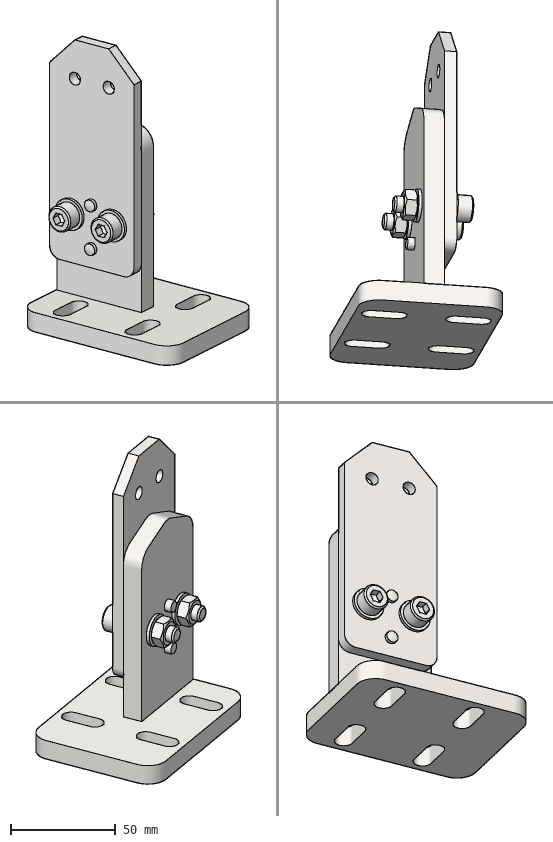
import cadquery as cq
import math

BASE_LENGTH = 90.0
BASE_WIDTH = 70.0
BASE_THICKNESS = 10.0
BASE_CORNER_RADIUS = 10.0
SLOT_WIDTH = 9.0
SLOT_LENGTH = 22.0
SLOT_X_POSITIONS = (-25.0, 17.5)
SLOT_Y_OFFSET = 20.5

UPRIGHT_INSET = 0.5
UPRIGHT_WIDTH = 50.0
UPRIGHT_THICKNESS = 10.0
SHOULDER_Z = 98.75
GABLE_RISE = 9.5
GABLE_RADIUS = 10.0
UPRIGHT_LEFT_X = -BASE_LENGTH / 2 + UPRIGHT_INSET
UPRIGHT_RIGHT_X = UPRIGHT_LEFT_X + UPRIGHT_WIDTH
CENTRE_X = UPRIGHT_LEFT_X + UPRIGHT_WIDTH / 2
UPRIGHT_BACK_Y = UPRIGHT_THICKNESS / 2
UPRIGHT_FRONT_Y = -UPRIGHT_THICKNESS / 2

PLATE_THICKNESS = 6.0
PLATE_BOTTOM_Z = 29.0
PLATE_HEIGHT = 115.0
PLATE_TOP_CHAMFER = 15.0
PLATE_BOTTOM_RADIUS = 6.0
PLATE_TOP_Z = PLATE_BOTTOM_Z + PLATE_HEIGHT
PLATE_FRONT_Y = UPRIGHT_FRONT_Y - PLATE_THICKNESS
MOUNT_HOLE_DIAMETER = 6.5
MOUNT_HOLE_SPACING = 20.0
MOUNT_HOLE_TOP_DISTANCE = 20.0
MOUNT_HOLE_Z = PLATE_TOP_Z - MOUNT_HOLE_TOP_DISTANCE

SCREW_DIAMETER = 8.0
SCREW_LENGTH = 30.0
SCREW_TIP_CHAMFER = 0.9
SCREW_SPACING = 25.0
SCREW_HEIGHT_ON_PLATE = 25.0
SCREW_Z = PLATE_BOTTOM_Z + SCREW_HEIGHT_ON_PLATE
CLEARANCE_DIAMETER = 8.5
HEAD_DIAMETER = 13.0
HEAD_HEIGHT = 8.0
HEAD_CHAMFER = 0.8
SOCKET_FLATS = 6.0
SOCKET_DEPTH = 4.0
SOCKET_POINT_ANGLE = 120.0
WASHER_DIAMETER = 16.0
WASHER_BORE = 8.4
WASHER_THICKNESS = 1.6
NUT_FLATS = 13.0
NUT_HEIGHT = 6.5
NUT_FACE_DIAMETER = 11.7
NUT_CHAMFER_ANGLE = 30.0
HEAD_SEAT_Y = PLATE_FRONT_Y - WASHER_THICKNESS
NUT_SEAT_Y = UPRIGHT_BACK_Y + WASHER_THICKNESS
SCREW_POINTS = [(CENTRE_X + side * SCREW_SPACING / 2, SCREW_Z) for side in (-1, 1)]

PIN_DIAMETER = 6.0
UPPER_PIN_OFFSET_Z = 7.5
LOWER_PIN_OFFSET_Z = -15.0
PIN_FRONT_PROJECTION = 2.2
PIN_BACK_PROJECTION = 3.5
PIN_FRONT_Y = PLATE_FRONT_Y - PIN_FRONT_PROJECTION
PIN_BACK_Y = UPRIGHT_BACK_Y + PIN_BACK_PROJECTION
PIN_CROWN_HEIGHT = 0.4
PIN_TAPER_LENGTH = 1.0
PIN_TAPER_DEPTH = 0.25
PIN_POINTS = [(CENTRE_X, SCREW_Z + offset) for offset in (UPPER_PIN_OFFSET_Z, LOWER_PIN_OFFSET_Z)]


def facing_back(y):
    """Workplane at the given Y with local axes X and Z; a negative extrusion runs toward +Y."""
    return cq.Workplane("XZ", origin=(0, y, 0))


def bar(points, diameter, start_y, end_y):
    """Round bars along Y, one centred on each (x, z) point."""
    return facing_back(start_y).pushPoints(points).circle(diameter / 2).extrude(start_y - end_y)


def hexagon(flats, start_y, end_y):
    """Hexagonal bar along the Y axis with two corners on X."""
    corner_diameter = flats / math.cos(math.pi / 6)
    return facing_back(start_y).polygon(6, corner_diameter).extrude(start_y - end_y)


def turned(profile):
    """Solid of revolution about the Y axis from (radius, y) points."""
    return cq.Workplane("XY").polyline(profile).close().revolve(360, (0, 0, 0), (0, 1, 0))


def make_base():
    base = (
        cq.Workplane("XY")
        .rect(BASE_LENGTH, BASE_WIDTH)
        .extrude(BASE_THICKNESS)
        .edges("|Z")
        .fillet(BASE_CORNER_RADIUS)
    )
    slot_points = [(x, side * SLOT_Y_OFFSET) for x in SLOT_X_POSITIONS for side in (-1, 1)]
    slots = (
        cq.Workplane("XY")
        .pushPoints(slot_points)
        .slot2D(SLOT_LENGTH, SLOT_WIDTH, 90)
        .extrude(BASE_THICKNESS)
    )
    return base.cut(slots)


def make_upright():
    outline = [
        (UPRIGHT_LEFT_X, BASE_THICKNESS),
        (UPRIGHT_RIGHT_X, BASE_THICKNESS),
        (UPRIGHT_RIGHT_X, SHOULDER_Z),
        (CENTRE_X, SHOULDER_Z + GABLE_RISE),
        (UPRIGHT_LEFT_X, SHOULDER_Z),
    ]
    upright = facing_back(UPRIGHT_FRONT_Y).polyline(outline).close().extrude(-UPRIGHT_THICKNESS)
    upright = upright.edges("|Y").edges("not <Z").fillet(GABLE_RADIUS)
    screw_holes = bar(SCREW_POINTS, CLEARANCE_DIAMETER, UPRIGHT_FRONT_Y, UPRIGHT_BACK_Y)
    pin_holes = bar(PIN_POINTS, PIN_DIAMETER, UPRIGHT_FRONT_Y, UPRIGHT_BACK_Y)
    return upright.cut(screw_holes).cut(pin_holes)


def make_bracket():
    return make_base().union(make_upright())


def make_plate():
    plate = cq.Workplane("XY").box(
        UPRIGHT_WIDTH, PLATE_THICKNESS, PLATE_HEIGHT, centered=(True, False, False)
    )
    plate = plate.translate((CENTRE_X, PLATE_FRONT_Y, PLATE_BOTTOM_Z))
    plate = plate.faces(">Z").edges("|Y").chamfer(PLATE_TOP_CHAMFER)
    plate = plate.faces("<Z").edges("|Y").fillet(PLATE_BOTTOM_RADIUS)
    mount_points = [(CENTRE_X + side * MOUNT_HOLE_SPACING / 2, MOUNT_HOLE_Z) for side in (-1, 1)]
    mount_holes = bar(mount_points, MOUNT_HOLE_DIAMETER, PLATE_FRONT_Y, UPRIGHT_FRONT_Y)
    screw_holes = bar(SCREW_POINTS, CLEARANCE_DIAMETER, PLATE_FRONT_Y, UPRIGHT_FRONT_Y)
    return plate.cut(mount_holes).cut(screw_holes)


def make_washer(start_y):
    end_y = start_y + WASHER_THICKNESS
    centre = [(0, 0)]
    return bar(centre, WASHER_DIAMETER, start_y, end_y).cut(bar(centre, WASHER_BORE, start_y, end_y))


def make_screw():
    head_radius = HEAD_DIAMETER / 2
    shank_radius = SCREW_DIAMETER / 2
    head_top_y = HEAD_SEAT_Y - HEAD_HEIGHT
    tip_y = HEAD_SEAT_Y + SCREW_LENGTH
    screw = turned([
        (0, head_top_y),
        (head_radius - HEAD_CHAMFER, head_top_y),
        (head_radius, head_top_y + HEAD_CHAMFER),
        (head_radius, HEAD_SEAT_Y),
        (shank_radius, HEAD_SEAT_Y),
        (shank_radius, tip_y - SCREW_TIP_CHAMFER),
        (shank_radius - SCREW_TIP_CHAMFER, tip_y),
        (0, tip_y),
    ])
    corner_radius = SOCKET_FLATS / 2 / math.cos(math.pi / 6)
    cone_start_y = head_top_y + SOCKET_DEPTH
    cone_tip_y = cone_start_y + corner_radius / math.tan(math.radians(SOCKET_POINT_ANGLE / 2))
    drill = turned([
        (0, head_top_y),
        (corner_radius, head_top_y),
        (corner_radius, cone_start_y),
        (0, cone_tip_y),
    ])
    return screw.cut(hexagon(SOCKET_FLATS, head_top_y, cone_tip_y).intersect(drill))


def make_nut():
    end_y = NUT_SEAT_Y + NUT_HEIGHT
    face_radius = NUT_FACE_DIAMETER / 2
    corner_radius = NUT_FLATS / 2 / math.cos(math.pi / 6)
    drop = (corner_radius - face_radius) * math.tan(math.radians(NUT_CHAMFER_ANGLE))
    envelope = turned([
        (0, NUT_SEAT_Y),
        (face_radius, NUT_SEAT_Y),
        (corner_radius, NUT_SEAT_Y + drop),
        (corner_radius, end_y - drop),
        (face_radius, end_y),
        (0, end_y),
    ])
    return hexagon(NUT_FLATS, NUT_SEAT_Y, end_y).intersect(envelope)


def make_fastener():
    """Screw, two washers and nut along the Y axis."""
    fastener = make_screw().union(make_nut())
    return fastener.union(make_washer(HEAD_SEAT_Y)).union(make_washer(UPRIGHT_BACK_Y))


def make_pin():
    """Dowel pin along the Y axis: crowned at the front, tapered lead-in at the back."""
    radius = PIN_DIAMETER / 2
    crown_radius = (radius**2 + PIN_CROWN_HEIGHT**2) / (2 * PIN_CROWN_HEIGHT)
    back_radius = radius - PIN_TAPER_DEPTH
    return (
        cq.Workplane("XY")
        .moveTo(0, PIN_FRONT_Y)
        .radiusArc((radius, PIN_FRONT_Y + PIN_CROWN_HEIGHT), -crown_radius)
        .lineTo(radius, PIN_BACK_Y - PIN_TAPER_LENGTH)
        .lineTo(back_radius, PIN_BACK_Y)
        .lineTo(0, PIN_BACK_Y)
        .close()
        .revolve(360, (0, 0, 0), (0, 1, 0))
    )


def make_plate_assembly():
    assembly = make_plate()
    for x, z in SCREW_POINTS:
        assembly = assembly.union(make_fastener().translate((x, 0, z)))
    for x, z in PIN_POINTS:
        assembly = assembly.union(make_pin().translate((x, 0, z)))
    return assembly


bracket = make_bracket()
plate_assembly = make_plate_assembly()

result = cq.Compound.makeCompound([bracket.solids().val(), plate_assembly.solids().val()])